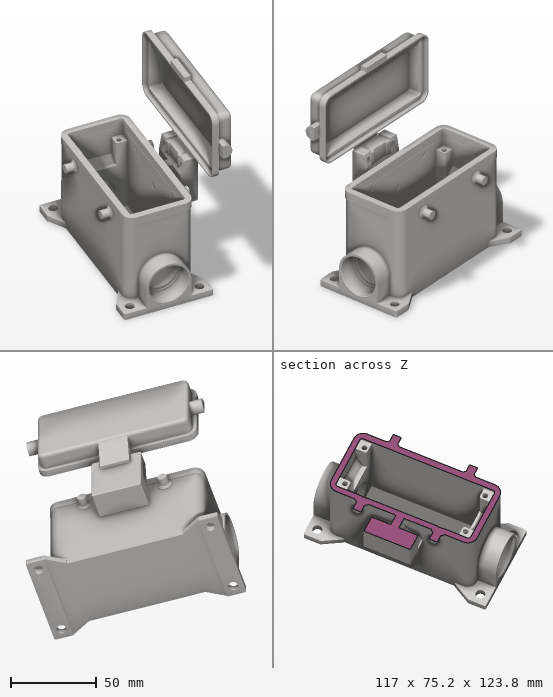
import cadquery as cq

TOTAL_DEPTH = 75.2
TOTAL_HEIGHT = 123.8

BASE_LENGTH = 117.0
BASE_WIDTH = 57.2
FOOT_THICKNESS = 4.2
FOOT_TAPER_START = 47.0
FOOT_TAPER_END = 35.5
FOOT_CORNER = 0.9
SCREW_HOLE_X = 52.3
SCREW_HOLE_Y = 22.4
SCREW_HOLE_DIAMETER = 5.8

RIM_LENGTH = 94.5
RIM_WIDTH = 44.0
RIM_BOTTOM = 57.5
BOX_TOP = 63.2
BOX_BOTTOM = 0.5
BOX_LENGTH = 93.8
BOX_FRONT = -21.9
BOX_REAR = 21.5
BOX_CORNER = 6.1
FLOOR_TOP = 4.2
MOUTH_LENGTH = 86.4
MOUTH_WIDTH = 35.6
MOUTH_CORNER = 1.2
MOUTH_STEP = 0.1
WALL_ROOT_Y = 21.0

POST_INNER_X = 36.1
POST_INNER_Y = 10.8
POST_TOP = 51.7
POST_EDGE_FILLET = 1.2
POST_HOLE_X = 38.7
POST_HOLE_Y = 13.5
POST_HOLE_DIAMETER = 3.3
POST_HOLE_DEPTH = 12.4
BLOCK_TOP = 35.8
BLOCK_SLOPE_X = 39.2
BLOCK_WALL_TOP = 40.2

ENTRY_Z = 17.2
ENTRY_RADIUS = 14.4
ENTRY_CHAMFER = 0.4
SOCKET_RADIUS = 12.6
SOCKET_DEPTH = 11.1
STEP_RADIUS = 11.9
STEP_DEPTH = 12.4
BORE_RADIUS = 10.4

STUD_X = 24.5
STUD_Z = 53.6
STUD_RADIUS = 2.7
STUD_REACH = 28.1
COLLAR_RADIUS = 4.2
COLLAR_END = 23.0

MARK_DEPTH = 0.2
STUD_MARK_RADIUS = 1.7
BRACKET_MARK_RADIUS = 2.2
BRACKET_MARK_Z = 43.0

LID_REAR = TOTAL_DEPTH - BASE_WIDTH / 2
LID_FRONT = 32.9
FLANGE_REAR = 37.0
FLANGE_LENGTH = 96.6
FLANGE_BOTTOM = 74.7
FLANGE_TOP = 120.7
FLANGE_CORNER = 6.1
LID_STEP = 2.5
LID_EDGE_FILLET = 2.1
SEAL_MARGIN = 1.05
SEAL_DEPTH = 2.8
LID_WALL = 3.6
LID_CAVITY_CORNER = 1.9
LID_BACK_THICKNESS = 2.1
TAB_WIDTH = 18.9
LUG_SPAN = 106.8
LUG_RADIUS = 4.6
LUG_REAR = 43.2

ARM_WIDTH = 17.7
ARM_FRONT = 39.6
ARM_REAR_TOP = 45.8
ARM_REAR_BOTTOM = 41.8
ARM_BOTTOM = 58.8
ARM_OVERLAP = 0.6
BRACKET_WIDTH = 30.1
BRACKET_REAR = 39.2
BRACKET_FRONT = 28.2
BRACKET_TOP_FRONT = 30.0
BRACKET_TOP = 68.0
BRACKET_SLOPE_BOTTOM = 57.7
BRACKET_BOTTOM = 36.0
BRACKET_FLOOR_TOP = 38.1
BRACKET_FLOOR_FRONT = 23.3
BRACKET_CHAMFER = 0.5
TONGUE_WIDTH = 18.2
TONGUE_FRONT = 30.1
TONGUE_TOP = 66.7
TONGUE_CHAMFER = 0.6
TONGUE_RECESS_WIDTH = 11.9
TONGUE_RECESS_DEPTH = 0.7
CHEEK_POCKET_END_X = 13.5
CHEEK_POCKET_REAR = 33.4
CHEEK_POCKET_RISE = 64.1
CHEEK_POCKET_TOP = 65.2
WEB_WIDTH = 5.5
WEB_TOP = 57.4
COVE_RADIUS = 8.0
COVE_BOTTOM = 41.1


def span_box(x_range, y_range, z_range):
    """Box given by its lower and upper limits along each axis."""
    limits = (x_range, y_range, z_range)
    size = [high - low for low, high in limits]
    corner = [low for low, high in limits]
    return cq.Workplane("XY").box(*size, centered=False).translate(tuple(corner))


def centered_box(width, y_range, z_range):
    """Box centred on X = 0."""
    return span_box((-width / 2, width / 2), y_range, z_range)


def both_ends(shape):
    """The shape together with its mirror image on the other end of the part."""
    return shape.union(shape.mirror("YZ"))


def cylinder_along_y(x, z, radius, y_start, y_end):
    plane = cq.Plane(origin=(x, y_start, z), xDir=(1, 0, 0), normal=(0, 1, 0))
    return cq.Workplane(plane).circle(radius).extrude(y_end - y_start)


def cylinder_along_x(y, z, radius, x_start, x_end):
    plane = cq.Workplane("YZ", origin=(x_start, 0, 0))
    return plane.center(y, z).circle(radius).extrude(x_end - x_start)


def make_feet():
    half_length = BASE_LENGTH / 2
    half_width = BASE_WIDTH / 2
    profile = [
        (-half_length, -half_width),
        (-FOOT_TAPER_START, -half_width),
        (-FOOT_TAPER_END, BOX_FRONT),
        (-FOOT_TAPER_END, -BOX_FRONT),
        (-FOOT_TAPER_START, half_width),
        (-half_length, half_width),
    ]
    foot = cq.Workplane("XY").polyline(profile).close().extrude(FOOT_THICKNESS)
    foot = foot.edges("|Z and <X").fillet(FOOT_CORNER)
    holes = (
        cq.Workplane("XY")
        .pushPoints([(-SCREW_HOLE_X, -SCREW_HOLE_Y), (-SCREW_HOLE_X, SCREW_HOLE_Y)])
        .circle(SCREW_HOLE_DIAMETER / 2)
        .extrude(FOOT_THICKNESS)
    )
    recess = span_box(
        (-FOOT_TAPER_START, 0), (-half_width, half_width), (0, BOX_BOTTOM)
    )
    return both_ends(foot.cut(holes).cut(recess))


def make_box_shell():
    body = centered_box(BOX_LENGTH, (BOX_FRONT, BOX_REAR), (BOX_BOTTOM, RIM_BOTTOM))
    rim = centered_box(RIM_LENGTH, (-RIM_WIDTH / 2, RIM_WIDTH / 2), (RIM_BOTTOM, BOX_TOP))
    return body.edges("|Z").fillet(BOX_CORNER).union(rim.edges("|Z").fillet(BOX_CORNER))


def make_box_cavity():
    def rounded_void(margin, z_range):
        half_width = MOUTH_WIDTH / 2 - margin
        void = centered_box(MOUTH_LENGTH - 2 * margin, (-half_width, half_width), z_range)
        return void.edges("|Z").fillet(MOUTH_CORNER)

    lower = rounded_void(MOUTH_STEP, (FLOOR_TOP, RIM_BOTTOM))
    return lower.union(rounded_void(0, (RIM_BOTTOM, BOX_TOP)))


def make_inner_supports():
    """Screw posts in the four corners, with a sloped block between each pair."""
    wall_x = MOUTH_LENGTH / 2
    wall_y = MOUTH_WIDTH / 2
    block_profile = [
        (POST_INNER_X, BOX_BOTTOM),
        (POST_INNER_X, BLOCK_TOP),
        (BLOCK_SLOPE_X, BLOCK_TOP),
        (wall_x, BLOCK_WALL_TOP),
        (wall_x, BOX_BOTTOM),
    ]
    block = cq.Workplane("XZ").polyline(block_profile).close().extrude(wall_y, both=True)
    post = span_box((POST_INNER_X, wall_x), (POST_INNER_Y, wall_y), (FLOOR_TOP, POST_TOP))
    post = post.edges("|Z and <X and <Y").fillet(POST_EDGE_FILLET)
    hole = (
        cq.Workplane("XY", origin=(POST_HOLE_X, POST_HOLE_Y, POST_TOP))
        .circle(POST_HOLE_DIAMETER / 2)
        .extrude(-POST_HOLE_DEPTH)
    )
    post = post.cut(hole)
    return both_ends(block.union(post).union(post.mirror("XZ")))


def make_cable_entries():
    """Round-topped collars that run straight down into the feet."""
    root_x = MOUTH_LENGTH / 2
    end_x = BASE_LENGTH / 2
    collar = cylinder_along_x(0, ENTRY_Z, ENTRY_RADIUS, root_x, end_x)
    skirt = span_box((root_x, end_x), (-ENTRY_RADIUS, ENTRY_RADIUS), (BOX_BOTTOM, ENTRY_Z))
    return both_ends(collar.union(skirt))


def make_entry_bores():
    end_x = BASE_LENGTH / 2
    bore = cylinder_along_x(0, ENTRY_Z, BORE_RADIUS, 0, end_x)
    step = cylinder_along_x(0, ENTRY_Z, STEP_RADIUS, end_x - STEP_DEPTH, end_x)
    socket = cylinder_along_x(0, ENTRY_Z, SOCKET_RADIUS, end_x - SOCKET_DEPTH, end_x)
    mouth = (
        cq.Workplane("YZ", origin=(end_x - ENTRY_CHAMFER, 0, 0))
        .center(0, ENTRY_Z)
        .circle(SOCKET_RADIUS)
        .workplane(offset=ENTRY_CHAMFER)
        .circle(SOCKET_RADIUS + ENTRY_CHAMFER)
        .loft()
    )
    return both_ends(bore.union(step).union(socket).union(mouth))


def make_studs():
    """Pins with a conical collar, two on the front wall and two on the rear wall."""
    profile = [
        (0, WALL_ROOT_Y),
        (COLLAR_RADIUS, WALL_ROOT_Y),
        (COLLAR_RADIUS, -BOX_FRONT),
        (STUD_RADIUS, COLLAR_END),
        (STUD_RADIUS, STUD_REACH),
        (0, STUD_REACH),
    ]
    stud = cq.Workplane("XY").polyline(profile).close().revolve(360, (0, 0), (0, 1))
    stud = stud.translate((STUD_X, 0, STUD_Z))
    return both_ends(stud.union(stud.mirror("XZ")))


def make_wall_marks():
    wall_y = MOUTH_WIDTH / 2 - MOUTH_STEP
    end_y = wall_y + MARK_DEPTH
    mark = cylinder_along_y(STUD_X, STUD_Z, STUD_MARK_RADIUS, 0, end_y)
    middle = cylinder_along_y(0, BRACKET_MARK_Z, BRACKET_MARK_RADIUS, 0, end_y)
    return both_ends(mark).union(middle)


def make_lid():
    middle_z = (FLANGE_TOP + FLANGE_BOTTOM) / 2

    def inset_block(inset, y_range, corner):
        """Rounded rectangle set in from the flange outline on every side."""
        z_range = (FLANGE_BOTTOM + inset, FLANGE_TOP - inset)
        block = centered_box(FLANGE_LENGTH - 2 * inset, y_range, z_range)
        return block.edges("|Y").fillet(corner)

    shell = inset_block(LID_STEP, (LID_FRONT, LID_REAR), FLANGE_CORNER - LID_STEP)
    shell = shell.faces(">Y").edges().fillet(LID_EDGE_FILLET)
    shell = shell.union(inset_block(0, (LID_FRONT, FLANGE_REAR), FLANGE_CORNER))
    tab = centered_box(TAB_WIDTH, (LID_FRONT, FLANGE_REAR), (middle_z, TOTAL_HEIGHT))
    lug_y = LUG_REAR - LUG_RADIUS
    lugs = cylinder_along_x(lug_y, middle_z, LUG_RADIUS, -LUG_SPAN / 2, LUG_SPAN / 2)
    front_space = centered_box(LUG_SPAN, (0, FLANGE_REAR), (0, TOTAL_HEIGHT))
    lugs = lugs.cut(front_space)

    seal_seat = (LID_FRONT, LID_FRONT + SEAL_DEPTH)
    cavity_range = (LID_FRONT, LID_REAR - LID_BACK_THICKNESS)
    cavity = inset_block(LID_WALL, cavity_range, LID_CAVITY_CORNER)
    cavity = cavity.union(inset_block(SEAL_MARGIN, seal_seat, FLANGE_CORNER - SEAL_MARGIN))
    return shell.union(tab).union(lugs).cut(cavity)


def make_hinge_arm():
    """Tapered arm that hangs from the lower lid wall and meets the bracket."""
    root_z = FLANGE_BOTTOM + LID_STEP + ARM_OVERLAP
    profile = [
        (ARM_REAR_TOP, root_z),
        (ARM_REAR_BOTTOM, ARM_BOTTOM),
        (BRACKET_REAR - ARM_OVERLAP, ARM_BOTTOM),
        (BRACKET_REAR - ARM_OVERLAP, TONGUE_TOP),
        (ARM_FRONT, TONGUE_TOP),
        (ARM_FRONT, FLANGE_BOTTOM),
        (FLANGE_REAR, FLANGE_BOTTOM),
        (FLANGE_REAR, root_z),
    ]
    arm = cq.Workplane("YZ").polyline(profile).close()
    return arm.extrude(ARM_WIDTH / 2, both=True)


def make_bracket():
    half_width = BRACKET_WIDTH / 2
    profile = [
        (BRACKET_REAR, BRACKET_BOTTOM),
        (BRACKET_REAR, BRACKET_TOP),
        (BRACKET_TOP_FRONT, BRACKET_TOP),
        (BRACKET_FRONT, BRACKET_SLOPE_BOTTOM),
        (BRACKET_FRONT, BRACKET_FLOOR_TOP),
        (BRACKET_FLOOR_FRONT, BRACKET_FLOOR_TOP),
        (BRACKET_FLOOR_FRONT, BRACKET_BOTTOM),
    ]
    bracket = cq.Workplane("YZ").polyline(profile).close().extrude(half_width, both=True)
    bracket = bracket.edges("|Y and (>Z or <Z)").chamfer(BRACKET_CHAMFER)
    bracket = bracket.faces(">Y").edges().chamfer(BRACKET_CHAMFER)

    middle_space = centered_box(TONGUE_WIDTH, (0, BRACKET_REAR), (WEB_TOP, BRACKET_TOP))
    tongue = centered_box(TONGUE_WIDTH, (TONGUE_FRONT, BRACKET_REAR), (WEB_TOP, TONGUE_TOP))
    tongue = tongue.edges("<Y and >Z").chamfer(TONGUE_CHAMFER)
    recess_rear = TONGUE_FRONT + TONGUE_RECESS_DEPTH
    recess = centered_box(TONGUE_RECESS_WIDTH, (TONGUE_FRONT, recess_rear), (WEB_TOP, TONGUE_TOP))
    bracket = bracket.cut(middle_space).union(tongue.cut(recess))

    pocket_profile = [
        (BRACKET_FRONT, WEB_TOP),
        (CHEEK_POCKET_REAR, CHEEK_POCKET_RISE),
        (CHEEK_POCKET_REAR, CHEEK_POCKET_TOP),
        (BRACKET_FRONT, CHEEK_POCKET_TOP),
    ]
    pocket = cq.Workplane("YZ", origin=(TONGUE_WIDTH / 2, 0, 0)).polyline(pocket_profile).close()
    pocket = pocket.extrude(CHEEK_POCKET_END_X - TONGUE_WIDTH / 2)
    return bracket.cut(both_ends(pocket))


def make_bracket_foot():
    """Upright web that flares through two hollow arcs and joins the bracket to the box."""
    half_width = BRACKET_WIDTH / 2
    web_x = WEB_WIDTH / 2
    cove_x = web_x + COVE_RADIUS
    cove_top = COVE_BOTTOM + COVE_RADIUS
    arc_offset = COVE_RADIUS * (1 - 0.5**0.5)
    half_foot = (
        cq.Workplane("XZ", origin=(0, BRACKET_FRONT, 0))
        .moveTo(0, BRACKET_FLOOR_TOP)
        .lineTo(0, WEB_TOP)
        .lineTo(web_x, WEB_TOP)
        .lineTo(web_x, cove_top)
        .threePointArc((web_x + arc_offset, COVE_BOTTOM + arc_offset), (cove_x, COVE_BOTTOM))
        .lineTo(half_width, BRACKET_FLOOR_TOP)
        .close()
        .extrude(BRACKET_FRONT - WALL_ROOT_Y)
    )
    return both_ends(half_foot)


box = make_box_shell().union(make_cable_entries()).union(make_feet())
box = box.cut(make_box_cavity())
box = box.union(make_inner_supports()).cut(make_entry_bores()).cut(make_wall_marks())
box = box.union(make_studs())

hinge = make_bracket().union(make_bracket_foot()).union(make_hinge_arm())
result = box.union(hinge).union(make_lid())